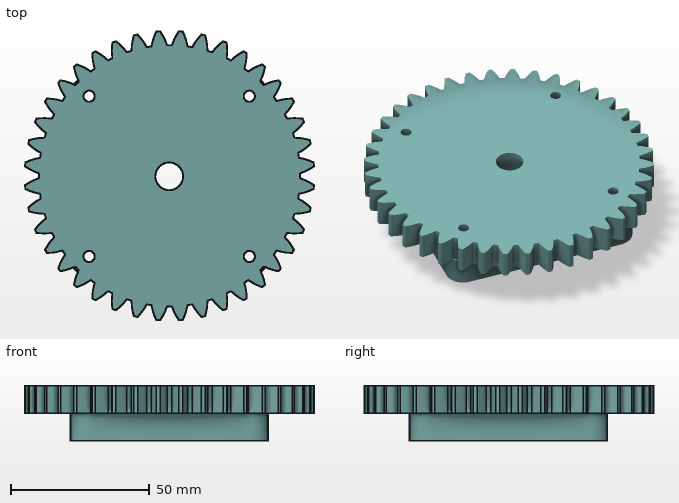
import cadquery as cq
import math

TOTAL_HEIGHT = 20.0
GEAR_THICKNESS = TOTAL_HEIGHT / 2
HUB_HEIGHT = TOTAL_HEIGHT - GEAR_THICKNESS

TOOTH_COUNT = 40
TIP_RADIUS = 52.5
ROOT_RADIUS = 47.4
GEAR_MODULE = 2 * TIP_RADIUS / (TOOTH_COUNT + 2)
PITCH_RADIUS = GEAR_MODULE * TOOTH_COUNT / 2
PRESSURE_ANGLE = math.radians(25)
BASE_RADIUS = PITCH_RADIUS * math.cos(PRESSURE_ANGLE)
TOOTH_PITCH = 2 * math.pi / TOOTH_COUNT
FLANK_POINTS = 5

HUB_CENTRE = (-0.1, -0.2)
HUB_SIDE = 71.7
HUB_CORNER_RADIUS = 6.4
BORE_DIAMETER = 10.0
BOLT_DIAMETER = 4.0
BOLT_SPACING = 58.0


def polar(radius, angle):
    """Point at a radius and an angle about the gear axis."""
    return (radius * math.cos(angle), radius * math.sin(angle))


def involute_angle(radius):
    """Polar angle swept by the involute between the base circle and a radius."""
    pressure = math.acos(BASE_RADIUS / radius)
    return math.tan(pressure) - pressure


def half_tooth_angle(radius):
    """Half the angle that a tooth spans; teeth and gaps are equal on the pitch circle."""
    return TOOTH_PITCH / 4 + involute_angle(PITCH_RADIUS) - involute_angle(radius)


def tooth_flank(centre_angle, side):
    """Points along one involute flank, from root to tip; side is -1 or +1."""
    step = (TIP_RADIUS - ROOT_RADIUS) / (FLANK_POINTS - 1)
    radii = [ROOT_RADIUS + i * step for i in range(FLANK_POINTS)]
    return [polar(r, centre_angle + side * half_tooth_angle(r)) for r in radii]


def gear_outline():
    """Closed gear profile: flank, tip arc, flank and root arc for each tooth."""
    first_centre = TOOTH_PITCH / 2
    outline = cq.Workplane("XY", origin=(0, 0, HUB_HEIGHT))
    outline = outline.moveTo(*tooth_flank(first_centre, -1)[0])
    for tooth in range(TOOTH_COUNT):
        centre = first_centre + tooth * TOOTH_PITCH
        rising = tooth_flank(centre, -1)
        falling = tooth_flank(centre, 1)[::-1]
        next_root = tooth_flank(centre + TOOTH_PITCH, -1)[0]
        outline = (
            outline.spline(rising[1:], includeCurrent=True)
            .threePointArc(polar(TIP_RADIUS, centre), falling[0])
            .spline(falling[1:], includeCurrent=True)
            .threePointArc(polar(ROOT_RADIUS, centre + TOOTH_PITCH / 2), next_root)
        )
    return outline.close()


def through_holes():
    """Cutter for the bore and the four bolt holes, running the full height."""
    plane = cq.Workplane("XY").center(*HUB_CENTRE)
    bore = plane.circle(BORE_DIAMETER / 2).extrude(TOTAL_HEIGHT)
    bolts = (
        plane.rect(BOLT_SPACING, BOLT_SPACING, forConstruction=True)
        .vertices()
        .circle(BOLT_DIAMETER / 2)
        .extrude(TOTAL_HEIGHT)
    )
    return bore.add(bolts).combine()


def make_gear():
    """Spur gear resting on the hub."""
    return gear_outline().extrude(GEAR_THICKNESS).cut(through_holes())


def make_hub():
    """Square plate with rounded corners under the gear."""
    plate = (
        cq.Workplane("XY")
        .center(*HUB_CENTRE)
        .rect(HUB_SIDE, HUB_SIDE)
        .extrude(HUB_HEIGHT)
        .edges("|Z")
        .fillet(HUB_CORNER_RADIUS)
    )
    return plate.cut(through_holes())


gear = make_gear()
hub = make_hub()

result = cq.Compound.makeCompound([gear.solids().val(), hub.solids().val()])